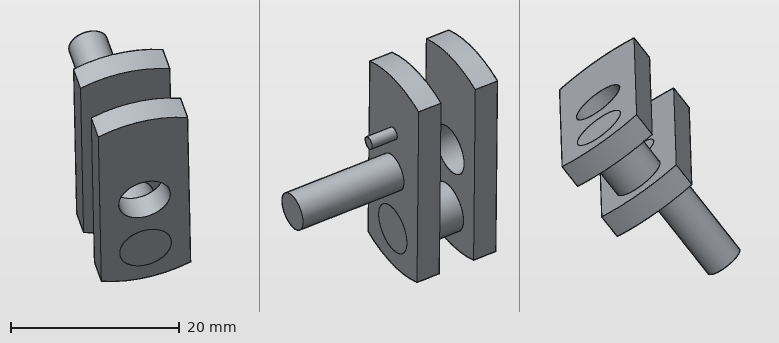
import cadquery as cq
import math

plate_thickness = 3.12
plate_width = 11.0
plate_end_radius = 14.3
plate_gap = 4.78
lean_angle = 0.82

shaft_diameter = 4.76
shaft_reach = 14.08
locating_pin_diameter = 1.59
locating_pin_reach = 3.5
locating_pin_offset = 5.98
spacer_diameter = 6.35
spacer_offset = -8.81
open_hole_diameter = 6.35

front_plate_x = 0.0
back_plate_x = plate_thickness + plate_gap
back_face_x = back_plate_x + plate_thickness


def lean(body):
    """Turn a body about the shaft axis by the lean of the plates."""
    return body.rotate((0, 0, 0), (1, 0, 0), lean_angle)


def rod(diameter, start_x, end_x, offset):
    """Cylinder along X, its axis at a distance from the shaft axis along the plate."""
    return (
        cq.Workplane("YZ", origin=(start_x, 0, offset))
        .circle(diameter / 2)
        .extrude(end_x - start_x)
    )


def plate_blank(start_x):
    """Plate with straight sides and two ends rounded about the shaft axis."""
    half_width = plate_width / 2
    corner_height = math.sqrt(plate_end_radius**2 - half_width**2)
    return (
        cq.Workplane("YZ", origin=(start_x, 0, 0))
        .moveTo(-half_width, -corner_height)
        .threePointArc((0, -plate_end_radius), (half_width, -corner_height))
        .lineTo(half_width, corner_height)
        .threePointArc((0, plate_end_radius), (-half_width, corner_height))
        .close()
        .extrude(plate_thickness)
    )


shaft = rod(shaft_diameter, -shaft_reach, plate_thickness, 0)
locating_pin = rod(locating_pin_diameter, -locating_pin_reach, plate_thickness, locating_pin_offset)
spacer = rod(spacer_diameter, front_plate_x, back_face_x, spacer_offset)

front_plate = plate_blank(front_plate_x).cut(shaft).cut(locating_pin).cut(spacer)

open_hole = rod(open_hole_diameter, back_plate_x, back_face_x, 0)
back_plate = plate_blank(back_plate_x).cut(spacer).cut(open_hole)

bodies = [front_plate, back_plate, shaft, locating_pin, spacer]
result = cq.Compound.makeCompound([lean(body).val() for body in bodies])